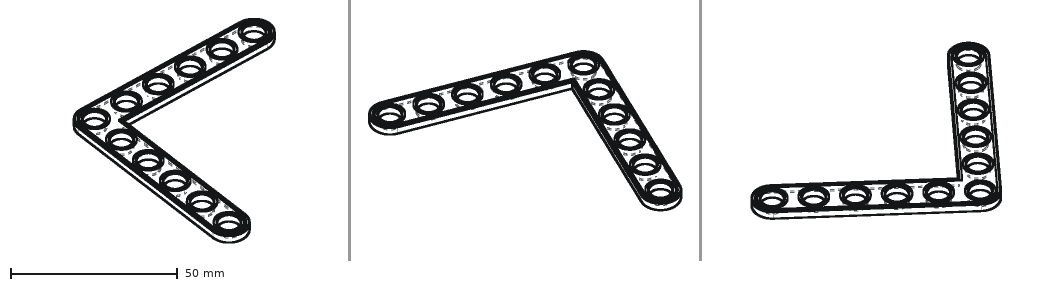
import cadquery as cq

pitch = 12.5
holes_per_arm = 6
thickness = pitch / 4
hole_diameter = 7.0
collar_diameter = 9.2
edge_chamfer = 0.3
rim_width = 1.1
recess_depth = 0.2

arm_width = pitch
arm_reach = (holes_per_arm - 1) * pitch

along_x = [(i * pitch, 0) for i in range(holes_per_arm)]
along_y = [(0, i * pitch) for i in range(1, holes_per_arm)]
hole_centres = along_x + along_y


def angle_plate(width, height):
    """L-shaped plate with round ends and a round outer corner."""
    half = width / 2
    arm_x = (
        cq.Workplane("XY")
        .center(arm_reach / 2, 0)
        .slot2D(arm_reach + width, width)
        .extrude(height)
    )
    arm_y = (
        cq.Workplane("XY")
        .center(0, arm_reach / 2)
        .slot2D(arm_reach + width, width, 90)
        .extrude(height)
    )
    inner_corner = cq.Workplane("XY").rect(half, half, centered=False).extrude(height)
    return arm_x.union(arm_y).union(inner_corner).clean()


def discs(diameter, height):
    """One disc at every hole centre."""
    return cq.Workplane("XY").pushPoints(hole_centres).circle(diameter / 2).extrude(height)


def drilled_body():
    """Plate with through holes, chamfered along every top and bottom edge."""
    plate = angle_plate(arm_width, thickness).cut(discs(hole_diameter, thickness))
    return plate.faces("<Z or >Z").edges().chamfer(edge_chamfer)


def recess_panel():
    """Volume sunk between the rim and the hole collars."""
    panel = angle_plate(arm_width - 2 * rim_width, recess_depth)
    return panel.cut(discs(collar_diameter, recess_depth))


top_recess = recess_panel().translate((0, 0, thickness - recess_depth))
result = drilled_body().cut(top_recess)